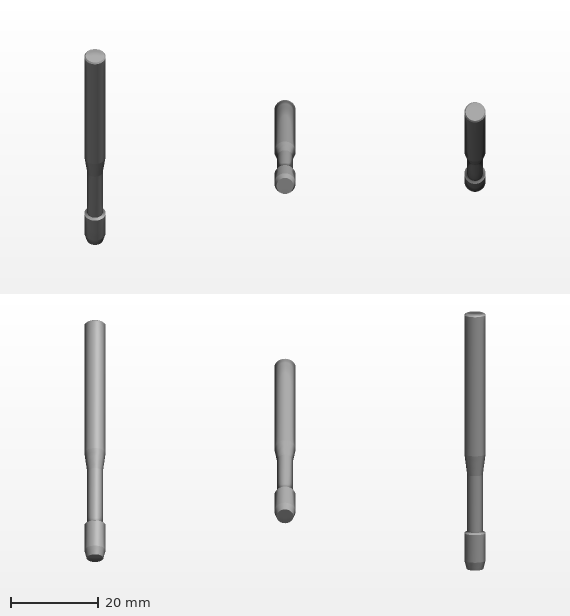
import cadquery as cq

total_length = 60.3
shank_diameter = 4.9
neck_diameter = 3.6
tip_diameter = 3.85
top_chamfer = 0.3

lead_length = 2.0
head_length = 8.85
back_cone_length = 0.35
taper_bottom = 22.3
taper_top = 27.15
bottom = -total_length / 2

shank_radius = shank_diameter / 2
neck_radius = neck_diameter / 2
tip_radius = tip_diameter / 2


def revolve_profile(points):
    """Turn an outline of (radius, height) points around Z."""
    return cq.Workplane("XZ").polyline(points).close().revolve(360, (0, 0), (0, 1))


def make_head():
    """Cutting head with a tapered lead and a back cone that narrows to the neck."""
    return revolve_profile([
        (0, bottom),
        (tip_radius, bottom),
        (shank_radius, bottom + lead_length),
        (shank_radius, bottom + head_length - back_cone_length),
        (neck_radius, bottom + head_length),
        (0, bottom + head_length),
    ])


def make_shank():
    """Cylindrical shank that tapers down to the neck standing on the head."""
    top = bottom + total_length
    return revolve_profile([
        (0, bottom + head_length),
        (neck_radius, bottom + head_length),
        (neck_radius, bottom + taper_bottom),
        (shank_radius, bottom + taper_top),
        (shank_radius, top - top_chamfer),
        (shank_radius - top_chamfer, top),
        (0, top),
    ])


head = make_head()
shank = make_shank()
result = cq.Compound.makeCompound([head.val(), shank.val()])